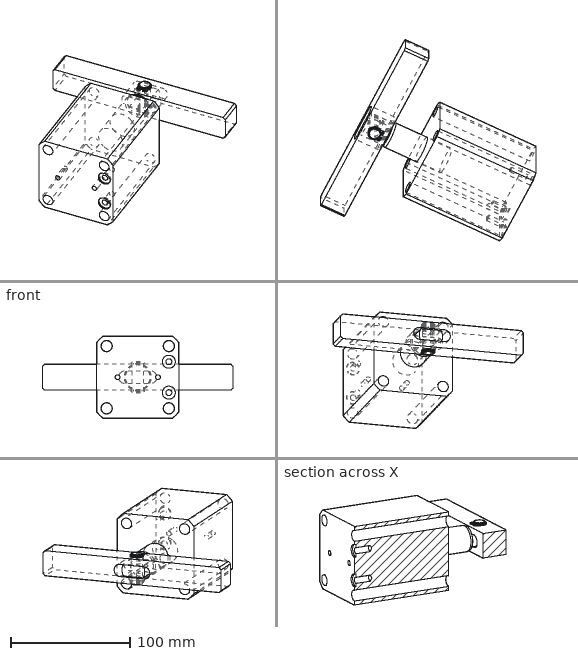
import cadquery as cq
import math

TOTAL_DEPTH = 145.0

HOUSING_SIDE = 69.0
HOUSING_DEPTH = 90.0
CORNER_RADIUS = 45.1
BOLT_OFFSET = 26.0
BOLT_HOLE_DIAMETER = 9.1
PORT_Z_OFFSET = 13.0
PORT_DIAMETER = 5.0
PORT_RECESS_DIAMETER = 10.9
PORT_RECESS_DEPTH = 1.5
SMALL_HOLE_X_OFFSET = 17.0
SMALL_HOLE_DIAMETER = 4.0
BLIND_HOLE_DEPTH = 15.0
DRILL_POINT_ANGLE = 118

ARM_LENGTH = 160
ARM_DEPTH = 22.0
ARM_HEIGHT = 21.8
ARM_END_CHAMFER = 2.0
SLOT_LENGTH = 32
arm_front = TOTAL_DEPTH - ARM_DEPTH
pin_y = TOTAL_DEPTH - ARM_DEPTH / 2

ROD_DIAMETER = 22.5
ROD_ENGAGEMENT = ROD_DIAMETER
ROD_TAPER_LENGTH = 2.2
ROD_TAPER_DROP = 0.8
ROD_TO_ARM_GAP = 1.1
TONGUE_DIAMETER = 20.5
TONGUE_HEIGHT = 10.5
TONGUE_PAST_PIN = 8
shoulder_y = arm_front - ROD_TO_ARM_GAP

PIN_DIAMETER = 10.0
PIN_PROTRUSION = 2.2
PIN_CHAMFER = 0.5
RING_THICKNESS = 1.0
RING_INNER_DIAMETER = 9.3
RING_OUTER_DIAMETER = 11.5
RING_GAP = 2.4
LUG_HALF_SPAN = 4.6
LUG_REACH = 6.9
LUG_CORNER_RADIUS = 1.3
LUG_HOLE_DIAMETER = 1.6
LUG_HOLE_X = 2.7
LUG_HOLE_REACH = 5.6
pin_length = ARM_HEIGHT + 2 * PIN_PROTRUSION
ring_bottoms = (-ARM_HEIGHT / 2 - RING_THICKNESS, ARM_HEIGHT / 2)


def cylinder_along_y(diameter, y_start, y_end, x=0, z=0):
    """Cylinder parallel to the Y axis."""
    return cq.Workplane(
        cq.Solid.makeCylinder(diameter / 2, y_end - y_start, cq.Vector(x, y_start, z), cq.Vector(0, 1, 0))
    )


def cylinder_along_z(diameter, z_start, z_end, x=0, y=pin_y):
    """Cylinder parallel to the Z axis."""
    return cq.Workplane(
        cq.Solid.makeCylinder(diameter / 2, z_end - z_start, cq.Vector(x, y, z_start), cq.Vector(0, 0, 1))
    )


def drilled_hole(diameter, x, z):
    """Blind hole cutter entering the housing front face, with a conical drill point."""
    radius = diameter / 2
    point_length = radius / math.tan(math.radians(DRILL_POINT_ANGLE / 2))
    point = cq.Solid.makeCone(
        radius, 0, point_length, cq.Vector(x, BLIND_HOLE_DEPTH, z), cq.Vector(0, 1, 0)
    )
    return cylinder_along_y(diameter, 0, BLIND_HOLE_DEPTH, x, z).union(cq.Workplane(point))


def make_housing():
    """Square block with corners turned about the rod axis, bolt holes, ports and rod bore."""
    block = cq.Workplane().box(HOUSING_SIDE, HOUSING_DEPTH, HOUSING_SIDE).translate((0, HOUSING_DEPTH / 2, 0))
    housing = block.intersect(cylinder_along_y(2 * CORNER_RADIUS, 0, HOUSING_DEPTH))
    for x in (-BOLT_OFFSET, BOLT_OFFSET):
        for z in (-BOLT_OFFSET, BOLT_OFFSET):
            housing = housing.cut(cylinder_along_y(BOLT_HOLE_DIAMETER, 0, HOUSING_DEPTH, x, z))
    for z in (-PORT_Z_OFFSET, PORT_Z_OFFSET):
        housing = housing.cut(drilled_hole(PORT_DIAMETER, BOLT_OFFSET, z))
        housing = housing.cut(cylinder_along_y(PORT_RECESS_DIAMETER, 0, PORT_RECESS_DEPTH, BOLT_OFFSET, z))
    for x in (-SMALL_HOLE_X_OFFSET, SMALL_HOLE_X_OFFSET):
        housing = housing.cut(drilled_hole(SMALL_HOLE_DIAMETER, x, 0))
    return housing.cut(cylinder_along_y(ROD_DIAMETER, HOUSING_DEPTH - ROD_ENGAGEMENT, HOUSING_DEPTH))


def make_rod():
    """Round rod with a tapered end and a flat-sided tongue that carries the pin."""
    rod_radius = ROD_DIAMETER / 2
    end_radius = rod_radius - ROD_TAPER_DROP
    taper_start = shoulder_y - ROD_TAPER_LENGTH
    taper = cq.Solid.makeCone(
        rod_radius, end_radius, ROD_TAPER_LENGTH, cq.Vector(0, taper_start, 0), cq.Vector(0, 1, 0)
    )
    tongue_end = pin_y + TONGUE_PAST_PIN
    tongue_length = tongue_end - shoulder_y
    flats = (
        cq.Workplane()
        .box(ROD_DIAMETER, tongue_length, TONGUE_HEIGHT)
        .translate((0, shoulder_y + tongue_length / 2, 0))
    )
    tongue = cylinder_along_y(TONGUE_DIAMETER, shoulder_y, tongue_end).intersect(flats)
    shank = cylinder_along_y(ROD_DIAMETER, HOUSING_DEPTH - ROD_ENGAGEMENT, taper_start)
    rod = shank.union(cq.Workplane(taper)).union(tongue)
    return rod.cut(cylinder_along_z(PIN_DIAMETER, -TONGUE_HEIGHT, TONGUE_HEIGHT))


def make_arm():
    """Bar with chamfered ends, a round-ended slot for the tongue and a pin hole."""
    bar = (
        cq.Workplane()
        .box(ARM_LENGTH, ARM_DEPTH, ARM_HEIGHT)
        .edges("|Y")
        .chamfer(ARM_END_CHAMFER)
        .translate((0, pin_y, 0))
    )
    slot = (
        cq.Workplane("XZ", origin=(0, TOTAL_DEPTH, 0))
        .slot2D(SLOT_LENGTH, TONGUE_HEIGHT)
        .extrude(ARM_DEPTH)
    )
    return bar.cut(slot).cut(cylinder_along_z(PIN_DIAMETER, -ARM_HEIGHT / 2, ARM_HEIGHT / 2))


def make_pin():
    """Pivot pin with chamfered ends and a ring groove outside each arm face."""
    pin = cylinder_along_z(PIN_DIAMETER, -pin_length / 2, pin_length / 2).faces("|Z").chamfer(PIN_CHAMFER)
    for z in ring_bottoms:
        groove = cylinder_along_z(PIN_DIAMETER, z, z + RING_THICKNESS).cut(
            cylinder_along_z(RING_INNER_DIAMETER, z, z + RING_THICKNESS)
        )
        pin = pin.cut(groove)
    return pin


def make_retaining_ring(z_bottom):
    """Open ring whose two drilled lugs point toward the housing."""
    z_top = z_bottom + RING_THICKNESS
    lugs = (
        cq.Workplane()
        .box(2 * LUG_HALF_SPAN, LUG_REACH, RING_THICKNESS)
        .edges("|Z and <Y")
        .fillet(LUG_CORNER_RADIUS)
        .translate((0, pin_y - LUG_REACH / 2, z_bottom + RING_THICKNESS / 2))
    )
    gap = (
        cq.Workplane()
        .box(RING_GAP, LUG_REACH, RING_THICKNESS)
        .translate((0, pin_y - LUG_REACH / 2, z_bottom + RING_THICKNESS / 2))
    )
    ring = cylinder_along_z(RING_OUTER_DIAMETER, z_bottom, z_top).union(lugs).cut(gap)
    ring = ring.cut(cylinder_along_z(RING_INNER_DIAMETER, z_bottom, z_top))
    for x in (-LUG_HOLE_X, LUG_HOLE_X):
        ring = ring.cut(cylinder_along_z(LUG_HOLE_DIAMETER, z_bottom, z_top, x, pin_y - LUG_HOLE_REACH))
    return ring


housing = make_housing()
rod = make_rod()
arm = make_arm()
pin = make_pin()
retaining_rings = [make_retaining_ring(z_bottom) for z_bottom in ring_bottoms]

result = cq.Compound.makeCompound(
    [housing.val(), rod.val(), arm.val(), pin.val(), *[ring.val() for ring in retaining_rings]]
)